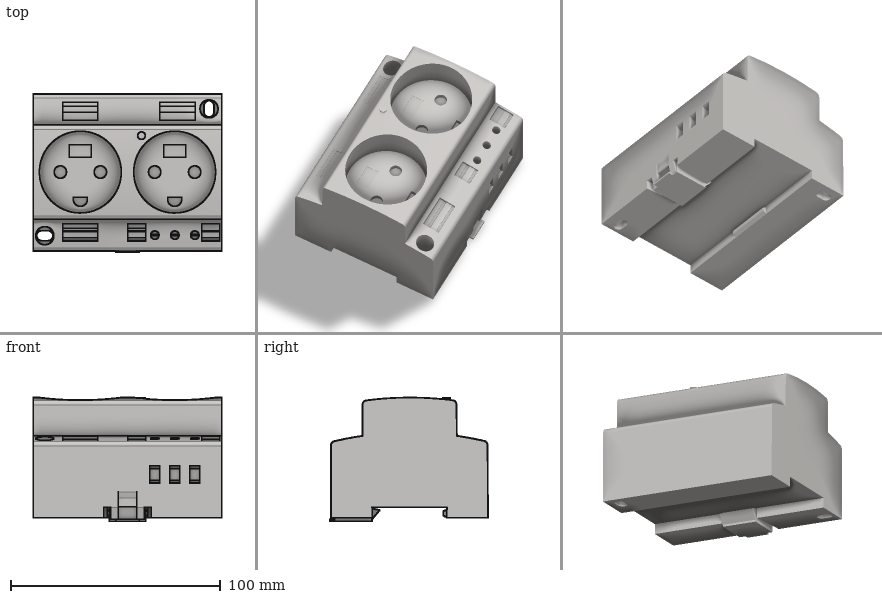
import cadquery as cq
import math


width = 90.0
depth = 75.1
crown_y = 37.7
crown_radius = 157.5
crown_z = 57.4
shoulder_crown_z = 40.8
block_front_y = 15.1
block_back_y = 60.2
back_draft = 0.3
shoulder_edge_radius = 2.25
block_edge_radius = 2.1

groove_front_y = 19.7
groove_back_y = 55.35
groove_height = 4.95
hook_reach = 1.8
hook_width = 22.4
hook_bottom_z = 0.1
hook_tip_bottom_z = 1.2
hook_tip_top_z = 3.15
hook_top_z = 4.0

socket_x = 22.5
socket_radius = 19.5
socket_floor_z = 42.0
pin_offset = 9.5
pin_radius = 3.0
pin_depth = 2.3
earth_radius = 3.3
earth_offset = 13.05
earth_y = crown_y - earth_offset
earth_straight = 1.1
shutter_width = 10.4
shutter_length = 6.1
shutter_offset = 10.1
shutter_y = crown_y + shutter_offset
shutter_depth = 0.2

lamp_x = 6.7
lamp_y = 55.1
lamp_radius = 1.8
lamp_top_z = 57.2

fixing_radius = 4.3
fixing_floor_z = groove_height
fixing_slot_length = 7.7
fixing_slot_width = 4.7
front_fixing = (-39.4, 7.4)
back_fixing = (38.9, 67.9)

terminal_pitch = 9.5
first_terminal_x = 13.05
terminal_count = 3
terminal_xs = [first_terminal_x + i * terminal_pitch for i in range(terminal_count)]
screw_y = 7.65
screw_radius = 2.0
screw_depth = 7.2
screw_slot_width = 0.8
screw_slot_depth = 0.5
entry_width = 4.8
entry_bottom_z = 16.4
entry_top_z = 24.8
entry_depth = 3.15
entry_sill = 1.4
entry_sill_rise = 0.5
entry_back_bottom_z = 18.0
entry_back_top_z = 23.3

long_window = (-31.0, -14.2)
short_window = (0.1, 8.7)
end_window = (35.4, 44.0)
back_windows = [(-31.0, -14.2), (15.4, 32.3)]
window_front_y = 4.7
window_back_y = 13.05
ledge_front_y = 6.4
ledge_back_y = 9.4
rear_ledge_y = 11.0
ledge_depth = 1.0
rear_floor_depth = 1.35
groove_depth = 1.6
window_bevel = 0.45
back_panel_edges = [62.4, 66.3, 69.1, 70.9]
back_panel_depths = [0.2, 0.4, 0.2]

clip_half_width = 8.7
clip_wall = 0.8
clip_bottom_z = -1.7
clip_floor_z = -0.7
clip_front_y = 1.8
clip_recess_front_half = 11.25
clip_recess_back_half = 9.5
clip_lean = math.tan(math.radians(16))
clip_tip_y = 23.4
clip_tip_z = 3.7
clip_shank_y = 20.7
clip_shank_z = 4.3
tab_half_width = 5.6
tab_reach = 0.45
notch_width = 8.9
notch_top_z = 12.4
notch_upper_z = 9.6
notch_lower_z = 5.4
notch_undercut = 1.4


def box(x0, x1, y0, y1, z0, z1):
    return cq.Workplane("XY").box(x1 - x0, y1 - y0, z1 - z0, centered=False).translate((x0, y0, z0))


def cylinder(x, y, radius, z0, z1):
    return cq.Workplane("XY", origin=(x, y, z0)).circle(radius).extrude(z1 - z0)


def prism(points, x0, x1):
    """Extrude a (Y, Z) outline from x0 to x1."""
    return cq.Workplane("YZ", origin=(x0, 0, 0)).polyline(points).close().extrude(x1 - x0)


def arched_z(peak_z, y):
    """Height at y of an arc that peaks at crown_y."""
    return peak_z - crown_radius + math.sqrt(crown_radius**2 - (y - crown_y) ** 2)


def shoulder_z(y):
    return arched_z(shoulder_crown_z, y)


def housing():
    back_top_y = depth - back_draft
    block_back_top_y = block_back_y - back_draft
    mid_front_y = block_front_y / 2
    mid_back_y = (back_top_y + block_back_y) / 2
    body = (
        cq.Workplane("YZ", origin=(-width / 2, 0, 0))
        .moveTo(0, 0)
        .lineTo(0, shoulder_z(0))
        .threePointArc((mid_front_y, shoulder_z(mid_front_y)), (block_front_y, shoulder_z(block_front_y)))
        .lineTo(block_front_y, arched_z(crown_z, block_front_y))
        .threePointArc((crown_y, crown_z), (block_back_top_y, arched_z(crown_z, block_back_top_y)))
        .lineTo(block_back_y, shoulder_z(block_back_y))
        .threePointArc((mid_back_y, shoulder_z(mid_back_y)), (back_top_y, shoulder_z(back_top_y)))
        .lineTo(depth, 0)
        .lineTo(groove_back_y, 0)
        .lineTo(groove_back_y, groove_height)
        .lineTo(groove_front_y, groove_height)
        .lineTo(groove_front_y, 0)
        .close()
        .extrude(width)
    )
    outer_edges = [
        (0, shoulder_z(0), shoulder_edge_radius),
        (block_front_y, arched_z(crown_z, block_front_y), block_edge_radius),
        (block_back_top_y, arched_z(crown_z, block_back_top_y), block_edge_radius),
        (back_top_y, shoulder_z(back_top_y), shoulder_edge_radius),
    ]
    for y, z, radius in outer_edges:
        body = body.edges(cq.selectors.NearestToPointSelector((0, y, z))).fillet(radius)
    return body


def rail_hook():
    tip_y = groove_back_y - hook_reach
    outline = [
        (groove_back_y, hook_top_z),
        (tip_y, hook_tip_top_z),
        (tip_y, hook_tip_bottom_z),
        (groove_back_y, hook_bottom_z),
    ]
    return prism(outline, -hook_width / 2, hook_width / 2)


def socket(x):
    """Round well with two pin holes, an earth hole and a shallow shutter panel in its floor."""
    pin_floor_z = socket_floor_z - pin_depth
    well = cylinder(x, crown_y, socket_radius, socket_floor_z, crown_z)
    for side in (-1, 1):
        well = well.union(cylinder(x + side * pin_offset, crown_y, pin_radius, pin_floor_z, socket_floor_z))
    earth = (
        cq.Workplane("XY", origin=(x, earth_y, pin_floor_z))
        .moveTo(-earth_radius, earth_straight)
        .lineTo(-earth_radius, 0)
        .threePointArc((0, -earth_radius), (earth_radius, 0))
        .lineTo(earth_radius, earth_straight)
        .close()
        .extrude(pin_depth)
    )
    shutter = box(
        x - shutter_width / 2,
        x + shutter_width / 2,
        shutter_y - shutter_length / 2,
        shutter_y + shutter_length / 2,
        socket_floor_z - shutter_depth,
        socket_floor_z,
    )
    return well.union(earth).union(shutter)


def fixing_hole(position, slot_angle):
    """Deep screw-head bore with a slot through its floor."""
    x, y = position
    bore = cylinder(x, y, fixing_radius, fixing_floor_z, shoulder_crown_z)
    slot = (
        cq.Workplane("XY", origin=(x, y, 0))
        .slot2D(fixing_slot_length, fixing_slot_width, slot_angle)
        .extrude(fixing_floor_z)
    )
    return bore.union(slot)


def terminal(x):
    """Screw hole from above with a slotted screw head, and a flared wire entry in the front."""
    screw_z = shoulder_z(screw_y) - screw_depth
    hole = cylinder(x, screw_y, screw_radius, screw_z, shoulder_crown_z)
    head_slot = cylinder(x, screw_y, screw_radius, screw_z - screw_slot_depth, screw_z).intersect(
        box(
            x - screw_radius,
            x + screw_radius,
            screw_y - screw_slot_width / 2,
            screw_y + screw_slot_width / 2,
            screw_z - screw_slot_depth,
            screw_z,
        )
    )
    entry_outline = [
        (0, entry_bottom_z),
        (entry_sill, entry_bottom_z),
        (entry_sill, entry_bottom_z + entry_sill_rise),
        (entry_depth, entry_back_bottom_z),
        (entry_depth, entry_back_top_z),
        (0, entry_top_z),
    ]
    entry = prism(entry_outline, x - entry_width / 2, x + entry_width / 2)
    return hole.union(head_slot).union(entry)


def front_window(x_range, has_rear_groove):
    """Shoulder window with a front groove, a raised ledge and a lower rear floor along the slope."""
    front_z = shoulder_z(window_front_y)
    slope = (shoulder_z(window_back_y) - front_z) / (window_back_y - window_front_y)

    def below(y, sink):
        return (y, front_z + slope * (y - window_front_y) - sink)

    behind_ledge = groove_depth if has_rear_groove else rear_floor_depth
    outline = [
        (window_front_y, shoulder_crown_z),
        below(window_front_y, 0),
        below(window_front_y + window_bevel, rear_floor_depth),
        below(ledge_front_y, rear_floor_depth),
        below(ledge_front_y, ledge_depth),
        below(ledge_back_y, ledge_depth),
        below(ledge_back_y + window_bevel, behind_ledge),
    ]
    if has_rear_groove:
        outline += [below(rear_ledge_y, groove_depth), below(rear_ledge_y, rear_floor_depth)]
    outline += [below(window_back_y, rear_floor_depth), (window_back_y, shoulder_crown_z)]
    return prism(outline, *x_range)


def back_window(body, x_range):
    """Three shallow panels whose floors follow the curved rear shoulder."""
    panels = None
    for y0, y1, sink in zip(back_panel_edges, back_panel_edges[1:], back_panel_depths):
        column = box(x_range[0], x_range[1], y0, y1, groove_height, shoulder_crown_z)
        panel = column.cut(body.translate((0, 0, -sink)))
        panels = panel if panels is None else panels.union(panel)
    return panels


def clip_recess():
    """Channel under the front foot that narrows toward the rail groove."""
    return (
        cq.Workplane("XY")
        .polyline(
            [
                (-clip_recess_front_half, 0),
                (clip_recess_front_half, 0),
                (clip_recess_back_half, groove_front_y),
                (-clip_recess_back_half, groove_front_y),
            ]
        )
        .close()
        .extrude(groove_height)
    )


def rail_clip():
    """Sliding clip: side walls, leaning core, floor with a pull tab, and a wedge nose for the rail."""
    foot_y = (groove_height - clip_floor_z) * clip_lean
    body = box(
        -clip_half_width, clip_half_width, clip_front_y, groove_front_y, clip_bottom_z, groove_height
    )
    core_half = clip_half_width - clip_wall
    core = prism(
        [
            (0, groove_height),
            (foot_y, clip_floor_z),
            (groove_front_y, clip_floor_z),
            (groove_front_y, groove_height),
        ],
        -core_half,
        core_half,
    )
    nose = prism(
        [
            (groove_front_y, clip_floor_z),
            (clip_tip_y, clip_tip_z),
            (clip_shank_y, clip_shank_z),
            (clip_shank_y, groove_height),
            (groove_front_y, groove_height),
        ],
        -clip_half_width,
        clip_half_width,
    )
    tab = box(-tab_half_width, tab_half_width, -tab_reach, clip_front_y, clip_bottom_z, clip_floor_z)
    return body.union(core).union(nose).union(tab)


def clip_notch():
    """Screwdriver notch in the front face, running down into the clip."""
    notch_y = (notch_top_z - notch_upper_z) * clip_lean
    undercut_y = notch_y + notch_undercut
    foot_y = undercut_y + (notch_lower_z - clip_floor_z) * clip_lean
    outline = [
        (0, notch_top_z),
        (notch_y, notch_upper_z),
        (notch_y, notch_lower_z),
        (undercut_y, notch_lower_z),
        (foot_y, clip_floor_z),
        (0, clip_floor_z),
    ]
    return prism(outline, -notch_width / 2, notch_width / 2)


shell = housing()
result = shell.union(rail_hook())
for side in (-1, 1):
    result = result.cut(socket(side * socket_x))
result = result.union(cylinder(lamp_x, lamp_y, lamp_radius, socket_floor_z, lamp_top_z))
result = result.cut(fixing_hole(front_fixing, 0)).cut(fixing_hole(back_fixing, 90))
for terminal_x in terminal_xs:
    result = result.cut(terminal(terminal_x))
for x_range in (long_window, short_window):
    result = result.cut(front_window(x_range, True))
result = result.cut(front_window(end_window, False))
for x_range in back_windows:
    result = result.cut(back_window(shell, x_range))
result = result.cut(clip_recess()).union(rail_clip()).cut(clip_notch())